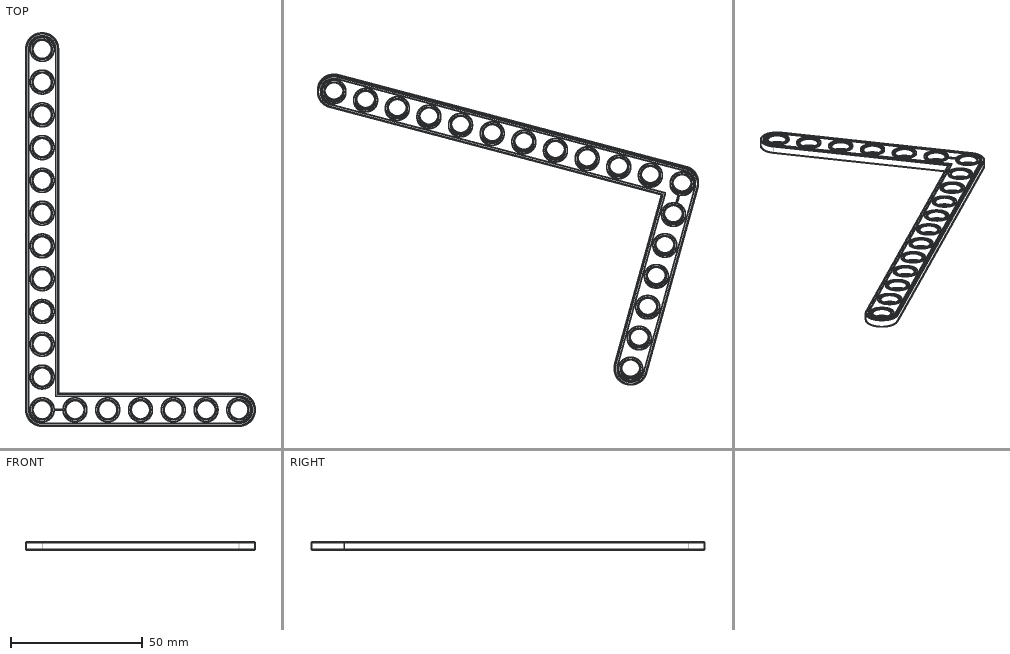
import cadquery as cq

long_arm_length = 150.0
long_arm_holes = 12
short_arm_holes = 7
thickness = 3.2
hole_diameter = 7.0
hole_rim_diameter = 9.2
outline_rim_width = 1.11
edge_chamfer = 0.3
recess_depth = 0.22
rib_width = 0.5

pitch = long_arm_length / long_arm_holes
arm_width = pitch
short_arm_length = short_arm_holes * pitch

short_row = [(i * pitch, 0) for i in range(short_arm_holes)]
long_row = [(0, i * pitch) for i in range(1, long_arm_holes)]
hole_centers = short_row + long_row


def arm(length, angle, inset, height):
    """Round-ended bar from the corner hole, turned about Z, outline moved in by inset."""
    end_hole_distance = length - arm_width
    return (
        cq.Workplane("XY")
        .center(end_hole_distance / 2, 0)
        .slot2D(length - 2 * inset, arm_width - 2 * inset)
        .extrude(height)
        .rotate((0, 0, 0), (0, 0, 1), angle)
    )


def l_shape(inset, height):
    """Both arms joined into one L, with its underside at Z = 0."""
    short_arm = arm(short_arm_length, 0, inset, height)
    long_arm = arm(long_arm_length, 90, inset, height)
    return short_arm.union(long_arm).clean()


def discs_at_holes(diameter, height):
    """One upright disc centred on every hole, standing on Z = 0."""
    return cq.Workplane("XY").pushPoints(hole_centers).circle(diameter / 2).extrude(height)


def recess():
    """Shallow pocket inside the outline rim; the hole rims and one rib are left standing."""
    hole_rims = discs_at_holes(hole_rim_diameter, recess_depth)
    rib = cq.Workplane("XY").center(pitch / 2, 0).rect(pitch, rib_width).extrude(recess_depth)
    return l_shape(outline_rim_width, recess_depth).cut(hole_rims).cut(rib)


plate = l_shape(0, thickness).cut(discs_at_holes(hole_diameter, thickness))
plate = plate.faces("|Z").edges().chamfer(edge_chamfer)

pocket = recess()
result = plate.cut(pocket.translate((0, 0, thickness - recess_depth))).cut(pocket)